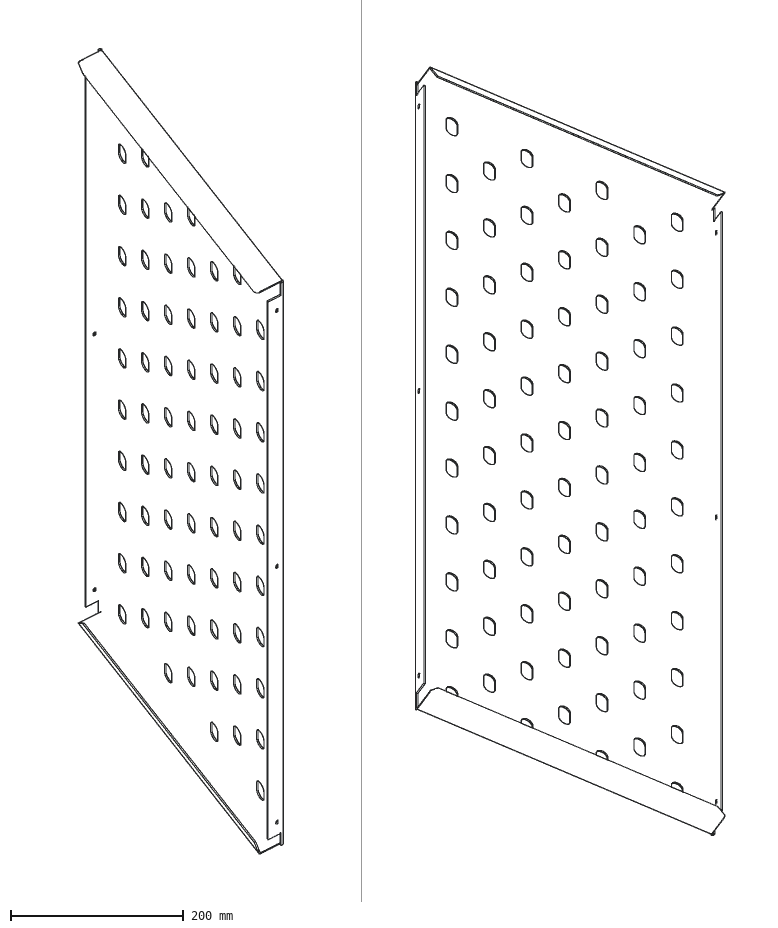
import cadquery as cq

WIDTH = 397.0
DEPTH = 33.0
HEIGHT = 1098.0

SHEET = 2.0
BEND_OUTER = 2.7
BEND_INNER = BEND_OUTER - SHEET

SIDE_DEPTH = 22.0
SIDE_SETBACK = 24.0
STUB_DEPTH = 4.0
LIP_HEIGHT = 12.0
LIP_MITRE = 10.0

PITCH = 100.0
SLOT_WIDTH = 15.0
SLOT_LENGTH = 30.0
ROWS = 21
LONG_ROW = 4
SHORT_ROW = 3

SIDE_SLOT_WIDTH = 3.0
SIDE_SLOT_LENGTH = 7.0
SIDE_SLOT_FROM_BACK = 10.0
SIDE_SLOT_PITCH = 5 * PITCH

BACK = DEPTH / 2
FRONT = -DEPTH / 2
FLAT_WIDTH = WIDTH - 2 * BEND_OUTER


def box_from(y_rear, width, depth, height):
    """Box centred in X and Z that reaches forward from y = y_rear."""
    return cq.Workplane("XY").box(width, depth, height).translate((0, y_rear - depth / 2, 0))


def end_channel():
    """Flat panel with its top and bottom flanges and their return lips."""
    outer = box_from(BACK, FLAT_WIDTH, DEPTH, HEIGHT).edges("|X").fillet(BEND_OUTER)
    inner = box_from(BACK - SHEET, FLAT_WIDTH, DEPTH - 2 * SHEET, HEIGHT - 2 * SHEET)
    inner = inner.edges("|X").fillet(BEND_INNER)
    opening = box_from(0, FLAT_WIDTH, DEPTH / 2, HEIGHT - 2 * LIP_HEIGHT)
    return outer.cut(inner).cut(opening)


def lip_mitres():
    """Corner wedges that mitre the ends of both return lips."""
    wedges = cq.Workplane("XZ", origin=(0, FRONT + BEND_OUTER, 0))
    edge_x = FLAT_WIDTH / 2
    tip_z = HEIGHT / 2 - LIP_HEIGHT
    for side in (-1, 1):
        for end in (-1, 1):
            wedges = wedges.polyline([
                (side * edge_x, end * tip_z),
                (side * (edge_x - LIP_MITRE), end * tip_z),
                (side * edge_x, end * (tip_z + LIP_MITRE)),
            ]).close()
    return wedges.extrude(BEND_OUTER)


def side_flanges():
    """Both side bends and flanges, cut down to low stubs near the tray ends."""
    outer = box_from(BACK, WIDTH, SIDE_DEPTH, HEIGHT).edges("|Z and >Y").fillet(BEND_OUTER)
    inner = box_from(BACK - SHEET, WIDTH - 2 * SHEET, SIDE_DEPTH, HEIGHT)
    inner = inner.edges("|Z and >Y").fillet(BEND_INNER)
    panel = box_from(BACK, FLAT_WIDTH, SIDE_DEPTH, HEIGHT)
    above_stubs = box_from(BACK - STUB_DEPTH, WIDTH, SIDE_DEPTH, HEIGHT)
    flange_length = box_from(BACK - STUB_DEPTH, WIDTH, SIDE_DEPTH, HEIGHT - 2 * SIDE_SETBACK)
    return outer.cut(inner).cut(panel).cut(above_stubs.cut(flange_length))


def panel_slots():
    """Staggered rows of upright slots through the panel."""
    centres = []
    for row in range(ROWS):
        z = (row - (ROWS - 1) / 2) * PITCH / 2
        count = SHORT_ROW if row % 2 else LONG_ROW
        for column in range(count):
            centres.append(((column - (count - 1) / 2) * PITCH, z))
    plane = cq.Workplane("XZ", origin=(0, BACK, 0))
    return plane.pushPoints(centres).slot2D(SLOT_LENGTH, SLOT_WIDTH, 90).extrude(SHEET)


def side_slots():
    """Small upright slots through both side flanges."""
    y = BACK - SIDE_SLOT_FROM_BACK
    centres = [(y, step * SIDE_SLOT_PITCH) for step in (-1, 0, 1)]
    plane = cq.Workplane("YZ").pushPoints(centres)
    return plane.slot2D(SIDE_SLOT_LENGTH, SIDE_SLOT_WIDTH, 90).extrude(WIDTH / 2, both=True)


tray = end_channel().cut(lip_mitres()).union(side_flanges())
result = tray.cut(panel_slots()).cut(side_slots())